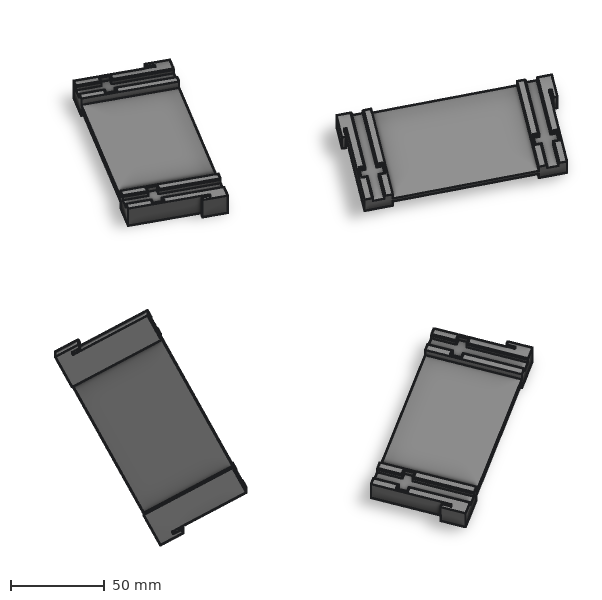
import cadquery as cq

length = 117.5
width = 54.0
height = 12.0

plate_thickness = 3.2

rail_inner = 18.9
rail_outer = 3.5

hook_thickness = 2.1
hook_length = 14.0
hook_root = 8.9

groove_width = 6.1
groove_center = 11.3
groove_depth = 2.9
pocket_length = 12.9
pocket_width = 5.5
pocket_from_back = 37.1
edge_chamfer = 0.6

left = -length / 2
back = width / 2
front = -width / 2
top = height / 2
groove_x = left + groove_center
groove_floor = top - groove_depth
pocket_y = back - pocket_from_back


def chamfered_profile(plane, center, channel_width):
    """Section of a channel whose top edges are chamfered at 45 degrees."""
    half = channel_width / 2
    chamfer_start = top - edge_chamfer
    return cq.Workplane(plane).polyline([
        (center - half, groove_floor),
        (center + half, groove_floor),
        (center + half, chamfer_start),
        (center + half + edge_chamfer, top),
        (center - half - edge_chamfer, top),
        (center - half, chamfer_start),
    ]).close()


def left_rail():
    """Rail with its hook, before the groove and pocket are cut."""
    return (
        cq.Workplane("XY")
        .workplane(offset=-height / 2)
        .polyline([
            (left, back),
            (left + rail_inner, back),
            (left + rail_inner, front),
            (left + rail_outer, front),
            (left + rail_outer, back - hook_root),
            (left + hook_thickness, back - hook_root),
            (left + hook_thickness, back - hook_length),
            (left, back - hook_length),
        ])
        .close()
        .extrude(height)
    )


def groove():
    """Channel running the full width of the part along Y."""
    return chamfered_profile("XZ", groove_x, groove_width).extrude(width / 2, both=True)


def pocket():
    """Short channel along X with plain, square ends."""
    return (
        chamfered_profile("YZ", pocket_y, pocket_width)
        .extrude(pocket_length / 2, both=True)
        .translate((groove_x, 0, 0))
    )


plate = cq.Workplane("XY").box(length - 2 * rail_inner, width, plate_thickness)
rail = left_rail().cut(groove()).cut(pocket())
result = plate.union(rail).union(rail.mirror("YZ"))